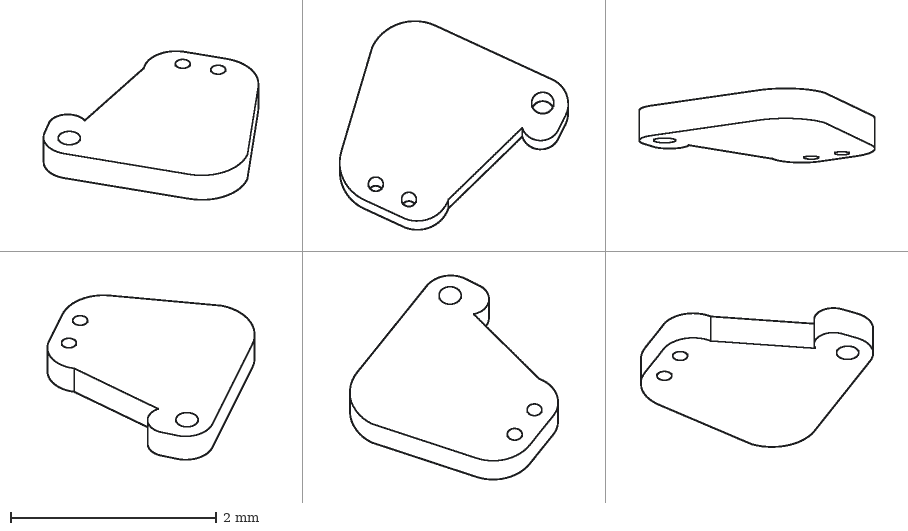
import cadquery as cq

length = 2.0
width = 1.9
thickness = 0.3

lower_left_round = 0.275
lug_side_top = 0.435
lug_arc_middle = (0.132, 0.62)
notch = (0.325, 0.572)
neck_left = (0.655, 1.54)
neck_left_arc_middle = (0.738, 1.798)
top_edge_start = 0.95
top_edge_end = 1.39
neck_right = (1.812, 1.54)
neck_right_arc_middle = (1.675, 1.792)
lower_right_round = 0.46

pivot_hole_diameter = 0.215
pivot_hole_center = (0.255, 0.255)
pin_hole_diameter = 0.145
pin_hole_spacing = 0.358
first_pin_hole = (1.005, 1.705)
second_pin_hole = (first_pin_hole[0] + pin_hole_spacing, first_pin_hole[1])

corner_gap_ratio = 1 - 0.5**0.5
lower_left_gap = lower_left_round * corner_gap_ratio
lower_right_gap = lower_right_round * corner_gap_ratio


def make_plate():
    """Flat lever with rounded corners and a lug at the lower left."""
    return (
        cq.Workplane("XY")
        .moveTo(lower_left_round, 0)
        .lineTo(length - lower_right_round, 0)
        .threePointArc((length - lower_right_gap, lower_right_gap), (length, lower_right_round))
        .lineTo(*neck_right)
        .threePointArc(neck_right_arc_middle, (top_edge_end, width))
        .lineTo(top_edge_start, width)
        .threePointArc(neck_left_arc_middle, neck_left)
        .lineTo(*notch)
        .threePointArc(lug_arc_middle, (0, lug_side_top))
        .lineTo(0, lower_left_round)
        .threePointArc((lower_left_gap, lower_left_gap), (lower_left_round, 0))
        .close()
        .extrude(thickness)
    )


def make_holes(centers, diameter):
    """Cylinders that pass through the full thickness at the given centers."""
    return cq.Workplane("XY").pushPoints(centers).circle(diameter / 2).extrude(thickness)


pivot_hole = make_holes([pivot_hole_center], pivot_hole_diameter)
pin_holes = make_holes([first_pin_hole, second_pin_hole], pin_hole_diameter)

result = make_plate().cut(pivot_hole).cut(pin_holes)